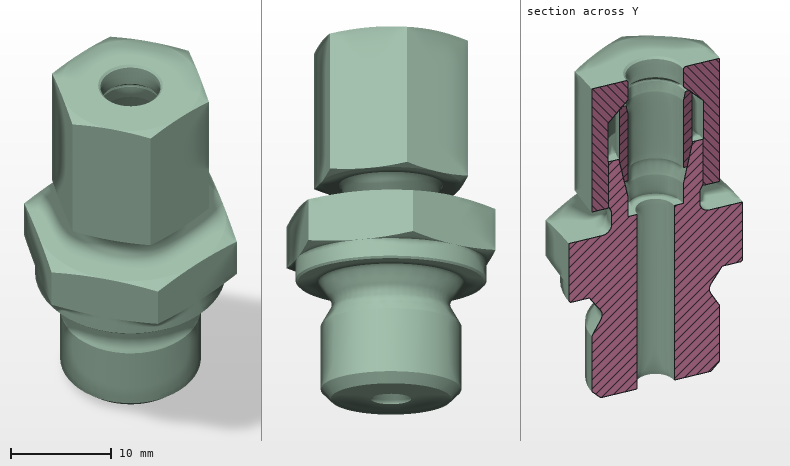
import cadquery as cq
import math


flange_bottom_z = 12.0
hex_bottom_z = 14.0
hex_top_z = 19.0
tube_stop_z = 20.5
nut_bottom_z = 22.0
body_top_z = 27.5
nut_top_z = 36.5

body_hex_flats = 19.0
nut_hex_flats = 14.0
hex_chamfer_angle = 15.0
hex_turn = 30.0

stud_radius = 14.0 / 2
stud_chamfer = 1.0
stud_top_z = 7.5
undercut_radius = 11.8 / 2
undercut_arc_radius = 1.1
undercut_lower_angle = 30.0
undercut_upper_angle = 35.0
flange_radius = body_hex_flats / 2
flange_chamfer = 0.2
neck_radius = 9.7 / 2
neck_fillet = 1.0
neck_flare_angle = 30.0
thread_radius = 10.35 / 2
thread_inset = 0.15

through_radius = 4.0 / 2
tube_radius = 6.0 / 2
mouth_radius = 8.0 / 2
mouth_angle = 12.0

nut_entry_chamfer = 0.22
nut_bore_depth = 2.35

ring_top_z = 33.58
ring_taper_bottom_z = 32.5
ring_taper_angle = 12.0
ring_outer_radius = mouth_radius
ring_nose_thickness = 0.4


def sine(angle):
    return math.sin(math.radians(angle))


def cosine(angle):
    return math.cos(math.radians(angle))


def tangent(angle):
    return math.tan(math.radians(angle))


def revolve_profile(profile):
    """Turn a closed (radius, height) profile once around the Z axis."""
    return profile.close().revolve(360, (0, 0, 0), (0, 1, 0))


def chamfered_hexagon(flats, bottom_z, top_z):
    """Hexagonal prism with corners on +Y and -Y, its corners turned off by a cone at both ends."""
    corner_radius = flats / math.sqrt(3)
    drop = (corner_radius - flats / 2) * tangent(hex_chamfer_angle)
    prism = (
        cq.Workplane("XY")
        .workplane(offset=bottom_z)
        .polygon(6, 2 * corner_radius)
        .extrude(top_z - bottom_z)
        .rotate((0, 0, 0), (0, 0, 1), hex_turn)
    )
    envelope = revolve_profile(
        cq.Workplane("XZ")
        .moveTo(0, bottom_z)
        .lineTo(flats / 2, bottom_z)
        .lineTo(corner_radius, bottom_z + drop)
        .lineTo(corner_radius, top_z - drop)
        .lineTo(flats / 2, top_z)
        .lineTo(0, top_z)
    )
    return prism.intersect(envelope)


def make_stud():
    """Screw-in stud with its undercut and the round sealing flange."""
    arc_centre_r = undercut_radius + undercut_arc_radius
    lower_arc_r = arc_centre_r - undercut_arc_radius * cosine(undercut_lower_angle)
    lower_arc_z = stud_top_z + (stud_radius - lower_arc_r) / tangent(undercut_lower_angle)
    arc_centre_z = lower_arc_z + undercut_arc_radius * sine(undercut_lower_angle)
    upper_arc_r = arc_centre_r - undercut_arc_radius * cosine(undercut_upper_angle)
    upper_arc_z = arc_centre_z + undercut_arc_radius * sine(undercut_upper_angle)
    flare_r = upper_arc_r + (flange_bottom_z - upper_arc_z) * tangent(undercut_upper_angle)
    return revolve_profile(
        cq.Workplane("XZ")
        .moveTo(0, 0)
        .lineTo(stud_radius - stud_chamfer, 0)
        .lineTo(stud_radius, stud_chamfer)
        .lineTo(stud_radius, stud_top_z)
        .lineTo(lower_arc_r, lower_arc_z)
        .threePointArc((undercut_radius, arc_centre_z), (upper_arc_r, upper_arc_z))
        .lineTo(flare_r, flange_bottom_z)
        .lineTo(flange_radius - flange_chamfer, flange_bottom_z)
        .lineTo(flange_radius, flange_bottom_z + flange_chamfer)
        .lineTo(flange_radius, hex_bottom_z)
        .lineTo(0, hex_bottom_z)
    )


def make_neck():
    """Neck above the hexagon, filleted at its foot and flaring out to the nut thread."""
    arc_centre_r = neck_radius + neck_fillet
    foot_half_angle = 90 / 2
    foot_arc_z = hex_top_z + neck_fillet
    foot_middle = (
        arc_centre_r - neck_fillet * cosine(foot_half_angle),
        foot_arc_z - neck_fillet * sine(foot_half_angle),
    )

    flare_arc_r = arc_centre_r - neck_fillet * cosine(neck_flare_angle)
    thread_bottom_z = nut_bottom_z + thread_inset
    flare_arc_top_z = thread_bottom_z - (thread_radius - flare_arc_r) / tangent(neck_flare_angle)
    flare_arc_z = flare_arc_top_z - neck_fillet * sine(neck_flare_angle)
    flare_half_angle = neck_flare_angle / 2
    flare_middle = (
        arc_centre_r - neck_fillet * cosine(flare_half_angle),
        flare_arc_z + neck_fillet * sine(flare_half_angle),
    )
    return revolve_profile(
        cq.Workplane("XZ")
        .moveTo(0, hex_top_z)
        .lineTo(arc_centre_r, hex_top_z)
        .threePointArc(foot_middle, (neck_radius, foot_arc_z))
        .lineTo(neck_radius, flare_arc_z)
        .threePointArc(flare_middle, (flare_arc_r, flare_arc_top_z))
        .lineTo(thread_radius, thread_bottom_z)
        .lineTo(thread_radius, body_top_z)
        .lineTo(0, body_top_z)
    )


def make_body_bore():
    """Through hole, tube socket and conical mouth for the cutting ring."""
    mouth_bottom_z = body_top_z - (mouth_radius - tube_radius) / tangent(mouth_angle)
    return revolve_profile(
        cq.Workplane("XZ")
        .moveTo(0, 0)
        .lineTo(through_radius, 0)
        .lineTo(through_radius, tube_stop_z)
        .lineTo(tube_radius, tube_stop_z)
        .lineTo(tube_radius, mouth_bottom_z)
        .lineTo(mouth_radius, body_top_z)
        .lineTo(0, body_top_z)
    )


def make_body():
    hexagon = chamfered_hexagon(body_hex_flats, hex_bottom_z, hex_top_z)
    return make_stud().union(hexagon).union(make_neck()).cut(make_body_bore())


def make_nut():
    """Union nut: tube hole at the top, 45 degree seat for the ring, thread bore below."""
    seat_top_z = nut_top_z - nut_bore_depth
    seat_bottom_z = seat_top_z - (thread_radius - tube_radius)
    bore = revolve_profile(
        cq.Workplane("XZ")
        .moveTo(0, nut_bottom_z)
        .lineTo(thread_radius, nut_bottom_z)
        .lineTo(thread_radius, seat_bottom_z)
        .lineTo(tube_radius, seat_top_z)
        .lineTo(tube_radius, nut_top_z - nut_entry_chamfer)
        .lineTo(tube_radius + nut_entry_chamfer, nut_top_z)
        .lineTo(0, nut_top_z)
    )
    return chamfered_hexagon(nut_hex_flats, nut_bottom_z, nut_top_z).cut(bore)


def make_ring():
    """Cutting ring held between the 45 degree seat of the nut and the conical mouth of the body."""
    seat_top_z = nut_top_z - nut_bore_depth
    top_outer_radius = tube_radius + seat_top_z - ring_top_z
    shoulder_z = ring_top_z - (ring_outer_radius - top_outer_radius)
    top_inner_radius = tube_radius + (ring_top_z - ring_taper_bottom_z) * tangent(ring_taper_angle)
    nose_radius = tube_radius + ring_nose_thickness
    nose_z = body_top_z - (mouth_radius - nose_radius) / tangent(mouth_angle)
    return revolve_profile(
        cq.Workplane("XZ")
        .moveTo(tube_radius, nose_z)
        .lineTo(nose_radius, nose_z)
        .lineTo(ring_outer_radius, body_top_z)
        .lineTo(ring_outer_radius, shoulder_z)
        .lineTo(top_outer_radius, ring_top_z)
        .lineTo(top_inner_radius, ring_top_z)
        .lineTo(tube_radius, ring_taper_bottom_z)
    )


body = make_body()
nut = make_nut()
ring = make_ring()

result = cq.Compound.makeCompound([body.val(), nut.val(), ring.val()])